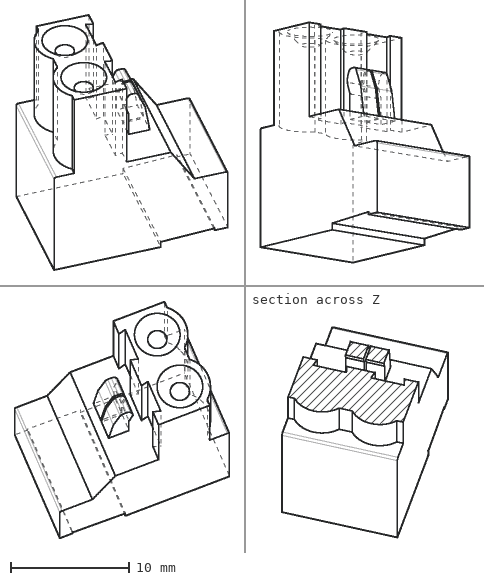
import cadquery as cq
import math

width = 10.15
depth = 15.5
height = 18.4

shelf_z = 10.27
rear_step_z = 6.79
slope_top_y = 10.41
slope_bottom_y = 12.51
edge_radius = 0.2

relief_y = 9.51
relief_z = 0.57
lip_y = 14.32
lip_relief_z = 0.8

poles = 2
pitch = width / poles
tower_front_y = 1.8
tower_back_y = 6.48
pole_y = 3.5
barrel_radius = 2.6
funnel_top_radius = 1.93
funnel_floor_radius = 0.81
funnel_depth = 1.15

groove_depth = 0.65
groove_mouth = 2.55
groove_floor = 2.87

latch_width = 3.4
latch_gap = 0.17
latch_front_y = 7.8
latch_front_z = 12.45
hook_y = 7.43
hook_z = 13.52
nose_y = 7.7
nose_z = 14.45
tip_front_y = 8.05
tip_back_y = 8.37
latch_top_z = 14.65
tip_round_y = 8.61
tip_round_z = 14.45
latch_bend_y = 9.24
latch_bend_z = 12.92
latch_back_y = 9.66

pole_xs = [(i - (poles - 1) / 2) * pitch for i in range(poles)]


def extrude_across(profile, length):
    """Extrude a closed Y-Z profile symmetrically about X = 0."""
    return profile.extrude(length / 2, both=True)


def make_body():
    profile = (
        cq.Workplane("YZ")
        .moveTo(0, 0)
        .lineTo(0, shelf_z)
        .lineTo(slope_top_y, shelf_z)
        .lineTo(slope_bottom_y, rear_step_z)
        .lineTo(depth, rear_step_z)
        .lineTo(depth, relief_z)
        .lineTo(lip_y, relief_z)
        .lineTo(lip_y, lip_relief_z)
        .lineTo(relief_y, relief_z)
        .lineTo(relief_y, 0)
        .close()
    )
    body = extrude_across(profile, width)
    front_edge = cq.selectors.NearestToPointSelector((0, 0, shelf_z))
    back_edge = cq.selectors.NearestToPointSelector((0, depth, rear_step_z))
    return body.edges(front_edge).fillet(edge_radius).edges(back_edge).fillet(edge_radius)


def make_tower():
    """Block whose front face bulges into one round barrel per pole."""
    half_chord = math.sqrt(barrel_radius**2 - (pole_y - tower_front_y) ** 2)
    barrel_front_y = pole_y - barrel_radius
    outline = (
        cq.Workplane("XY", origin=(0, 0, shelf_z))
        .moveTo(-width / 2, tower_back_y)
        .lineTo(-width / 2, tower_front_y)
    )
    for x in pole_xs:
        outline = outline.lineTo(x - half_chord, tower_front_y)
        outline = outline.threePointArc((x, barrel_front_y), (x + half_chord, tower_front_y))
    return (
        outline.lineTo(width / 2, tower_front_y)
        .lineTo(width / 2, tower_back_y)
        .close()
        .extrude(height - shelf_z)
    )


def make_groove(x):
    """Dovetail groove, wider at its floor, over the full tower height."""
    floor_y = tower_back_y - groove_depth
    return (
        cq.Workplane("XY", origin=(x, 0, shelf_z))
        .moveTo(-groove_mouth / 2, tower_back_y)
        .lineTo(-groove_floor / 2, floor_y)
        .lineTo(groove_floor / 2, floor_y)
        .lineTo(groove_mouth / 2, tower_back_y)
        .close()
        .extrude(height - shelf_z)
    )


def make_funnel(x):
    return cq.Workplane(
        cq.Solid.makeCone(
            funnel_top_radius, funnel_floor_radius, funnel_depth,
            pnt=cq.Vector(x, pole_y, height), dir=cq.Vector(0, 0, -1),
        )
    )


def make_latch():
    profile = (
        cq.Workplane("YZ")
        .moveTo(tip_back_y, latch_top_z)
        .lineTo(tip_front_y, latch_top_z)
        .tangentArcPoint((nose_y, nose_z), relative=False)
        .tangentArcPoint((hook_y, hook_z), relative=False)
        .lineTo(latch_front_y, latch_front_z)
        .lineTo(latch_front_y, shelf_z)
        .lineTo(latch_back_y, shelf_z)
        .lineTo(latch_bend_y, latch_bend_z)
        .lineTo(tip_round_y, tip_round_z)
        .tangentArcPoint((tip_back_y, latch_top_z), relative=False)
        .close()
    )
    latch = extrude_across(profile, latch_width)
    gap = cq.Workplane("XY", origin=(0, 0, shelf_z)).rect(latch_gap, 2 * depth).extrude(height)
    return latch.cut(gap)


result = make_body().union(make_tower()).union(make_latch())
for pole_x in pole_xs:
    result = result.cut(make_groove(pole_x)).cut(make_funnel(pole_x))